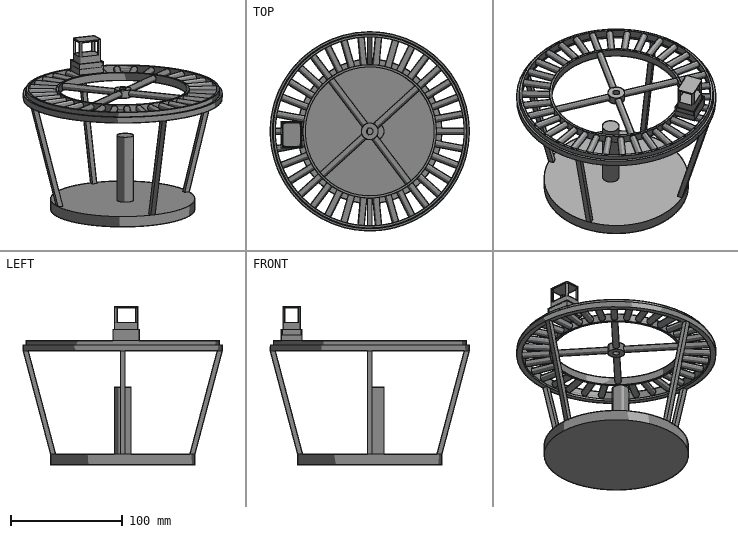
import cadquery as cq

base_diameter = 130.0
base_height = 9.7
rim_outer_diameter = 179.4
rim_bore_diameter = 175.5
rim_floor_bore_diameter = 170.0
rim_bottom = 102.8
rim_height = 5.4
leg_count = 4
leg_width = 4.3
leg_radial_thickness = 4.7

post_diameter = 15.0
post_height = 60.3
post_offset_x = 5.4

wheel_outer_diameter = 174.0
wheel_outer_bore = 170.0
wheel_inner_diameter = 120.0
wheel_inner_bore = 116.0
wheel_height = 7.2
wheel_top = 112.0
roller_count = 34
roller_diameter = 6.0
spoke_positions = (4, 12, 21, 29)
hub_diameter = 15.0
hub_bore = 6.0

cabin_center_x = -70.3
cabin_center_y = -3.0
plinth_length_x = 18.8
plinth_length_y = 23.9
plinth_height = 10.0
socket_depth = 5.0
socket_clearance = 0.5
cabin_length_x = 15.6
cabin_length_y = 21.2
cabin_top = 142.5
cabin_corner_radius = 1.8
roof_thickness = 1.3
window_height = 13.0
window_length_x = 12.0
window_length_y = 16.3
window_margin_x = 1.6
window_margin_y = 2.2

wheel_bottom = wheel_top - wheel_height
roller_axis_height = wheel_top - wheel_height / 2
roller_pitch = 360 / roller_count
socket_floor = wheel_top + plinth_height - socket_depth


def tube(outer_diameter, bore_diameter, height, bottom):
    """Upright ring standing at the given height."""
    profile = cq.Workplane("XY").workplane(offset=bottom).circle(outer_diameter / 2)
    return profile.circle(bore_diameter / 2).extrude(height)


def make_leg():
    """Slanted leg on the +X side, from the base edge out to the rim edge."""
    foot = base_diameter / 2
    head = rim_outer_diameter / 2
    outline = [
        (foot - leg_radial_thickness, base_height),
        (foot, base_height),
        (head, rim_bottom),
        (head - leg_radial_thickness, rim_bottom),
    ]
    return cq.Workplane("XZ").polyline(outline).close().extrude(leg_width / 2, both=True)


def make_post():
    """Plain round post standing on the base."""
    start = cq.Workplane("XY").workplane(offset=base_height)
    return start.center(post_offset_x, 0).circle(post_diameter / 2).extrude(post_height)


def make_frame():
    """Base disc with its post, four legs, and the rim with a narrow floor under the wheel."""
    frame = cq.Workplane("XY").circle(base_diameter / 2).extrude(base_height)
    frame = frame.union(make_post())
    frame = frame.union(tube(rim_outer_diameter, rim_bore_diameter, rim_height, rim_bottom))
    floor_thickness = wheel_bottom - rim_bottom
    frame = frame.union(tube(rim_outer_diameter, rim_floor_bore_diameter, floor_thickness, rim_bottom))
    leg = make_leg()
    for index in range(leg_count):
        frame = frame.union(leg.rotate((0, 0, 0), (0, 0, 1), index * 360 / leg_count))
    return frame


def radial_bar(start_radius, end_radius, position):
    """Round bar pointing outwards at one of the roller positions."""
    bar = cq.Workplane("YZ").workplane(offset=start_radius).center(0, roller_axis_height)
    bar = bar.circle(roller_diameter / 2).extrude(end_radius - start_radius)
    return bar.rotate((0, 0, 0), (0, 0, 1), position * roller_pitch)


def make_wheel():
    """Outer and inner rings joined by rollers, with four spokes to a bored hub."""
    outer_ring_middle = (wheel_outer_diameter + wheel_outer_bore) / 4
    inner_ring_middle = (wheel_inner_diameter + wheel_inner_bore) / 4
    hub_wall_middle = (hub_diameter + hub_bore) / 4
    wheel = tube(wheel_outer_diameter, wheel_outer_bore, wheel_height, wheel_bottom)
    wheel = wheel.union(tube(wheel_inner_diameter, wheel_inner_bore, wheel_height, wheel_bottom))
    wheel = wheel.union(tube(hub_diameter, hub_bore, wheel_height, wheel_bottom))
    for position in range(roller_count):
        wheel = wheel.union(radial_bar(inner_ring_middle, outer_ring_middle, position))
    for position in spoke_positions:
        wheel = wheel.union(radial_bar(hub_wall_middle, inner_ring_middle, position))
    return wheel


def cabin_block(length_x, length_y, height, bottom):
    """Upright block centred on the cabin's own axis."""
    start = cq.Workplane("XY").workplane(offset=bottom).center(cabin_center_x, cabin_center_y)
    return start.rect(length_x, length_y).extrude(height)


def make_plinth():
    """Block level with the wheel's top, with a square-cornered socket for the cabin."""
    plinth = cabin_block(plinth_length_x, plinth_length_y, plinth_height, wheel_top)
    socket_length_x = cabin_length_x + 2 * socket_clearance
    socket_length_y = cabin_length_y + 2 * socket_clearance
    return plinth.cut(cabin_block(socket_length_x, socket_length_y, socket_depth, socket_floor))


def make_cabin():
    """Round-cornered cabin, pierced by windows in both directions under a thin roof."""
    cabin = cabin_block(cabin_length_x, cabin_length_y, cabin_top - socket_floor, socket_floor)
    cabin = cabin.edges("|Z").fillet(cabin_corner_radius)
    window_bottom = cabin_top - roof_thickness - window_height
    shift_x = window_margin_x - (cabin_length_x - window_length_x) / 2
    shift_y = window_margin_y - (cabin_length_y - window_length_y) / 2
    window_along_y = cabin_block(window_length_x, cabin_length_y, window_height, window_bottom)
    window_along_x = cabin_block(cabin_length_x, window_length_y, window_height, window_bottom)
    cabin = cabin.cut(window_along_y.translate((shift_x, 0, 0)))
    return cabin.cut(window_along_x.translate((0, shift_y, 0)))


frame = make_frame()
wheel = make_wheel()
plinth = make_plinth()
cabin = make_cabin()

result = cq.Compound.makeCompound([frame.val(), wheel.val(), plinth.val(), cabin.val()])